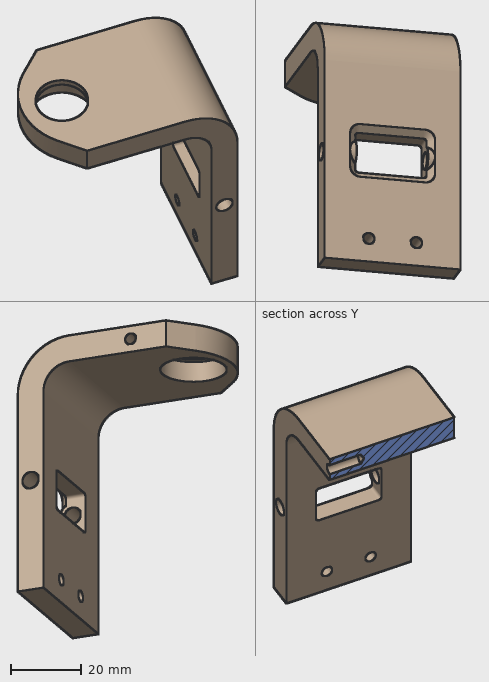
import cadquery as cq
import math

width = 40.0
height = 76.0
thickness = 8.0
bend_inner_radius = 8.0
bend_outer_radius = bend_inner_radius + thickness
flange_bottom = height - thickness

side_length = 46.0
nose_flat_leg = 6.5
nose_arc_half_width = width / 2 - nose_flat_leg
nose_arc_radius = nose_arc_half_width * math.sqrt(2)
nose_arc_end_y = -(side_length + nose_flat_leg)
nose_tip_y = nose_arc_end_y - (nose_arc_radius - nose_arc_half_width)

seat_y = -side_length
seat_diameter = 19.0
lip_bore_diameter = 15.0
lip_thickness = 2.0

window_width = 21.0
window_height = 12.0
window_corner_radius = 1.0
window_z = 33.5
rear_chamfer = 2.0
chamfer_angle = 45.0
cross_hole_diameter = 5.0
cross_boss_diameter = thickness
mount_hole_diameter = 3.3
mount_hole_spacing = 14.0
mount_hole_z = 7.0

edge_hole_diameter = 3.3
edge_hole_y = -35.0
edge_hole_depth = 10.0
drill_point_angle = 118.0


def bent_plate():
    """L-shaped side profile with a rounded bend, extruded across the width."""
    bend_z = height - bend_outer_radius
    bend_diagonal = math.sqrt(0.5)
    outer_mid = (
        -bend_outer_radius * (1 - bend_diagonal),
        bend_z + bend_outer_radius * bend_diagonal,
    )
    inner_mid = (
        -bend_outer_radius + bend_inner_radius * bend_diagonal,
        bend_z + bend_inner_radius * bend_diagonal,
    )
    return (
        cq.Workplane("YZ")
        .moveTo(0, 0)
        .lineTo(0, bend_z)
        .threePointArc(outer_mid, (-bend_outer_radius, height))
        .lineTo(nose_tip_y, height)
        .lineTo(nose_tip_y, flange_bottom)
        .lineTo(-bend_outer_radius, flange_bottom)
        .threePointArc(inner_mid, (-thickness, bend_z))
        .lineTo(-thickness, 0)
        .close()
        .extrude(width / 2, both=True)
    )


def plan_outline():
    """Full-height prism with the plan shape of the flange and its rounded nose."""
    half_width = width / 2
    return (
        cq.Workplane("XY")
        .moveTo(-half_width, 0)
        .lineTo(-half_width, -side_length)
        .lineTo(-nose_arc_half_width, nose_arc_end_y)
        .threePointArc((0, nose_tip_y), (nose_arc_half_width, nose_arc_end_y))
        .lineTo(half_width, -side_length)
        .lineTo(half_width, 0)
        .close()
        .extrude(height)
    )


def bearing_seat():
    """Lip bore through the flange plus the wider seat below the lip."""
    base = cq.Workplane("XY", origin=(0, seat_y, flange_bottom))
    lip_bore = base.circle(lip_bore_diameter / 2).extrude(thickness)
    seat = base.circle(seat_diameter / 2).extrude(thickness - lip_thickness)
    return lip_bore.union(seat)


def window():
    """Rectangular opening through the upright with rounded corners."""
    return (
        cq.Workplane("XZ", origin=(0, 0, window_z))
        .rect(window_width, window_height)
        .extrude(thickness)
        .edges("|Y")
        .fillet(window_corner_radius)
    )


def window_rear_chamfer():
    """Bevel around the rear rim of the window, interrupted by bosses around the cross hole."""
    rim = (
        cq.Sketch()
        .rect(window_width + 2 * rear_chamfer, window_height + 2 * rear_chamfer)
        .vertices()
        .fillet(window_corner_radius + rear_chamfer)
    )
    bevel = (
        cq.Workplane("XZ", origin=(0, 0, window_z))
        .placeSketch(rim)
        .extrude(rear_chamfer, taper=chamfer_angle)
    )
    return bevel.cut(cross_cylinder(cross_boss_diameter))


def mount_holes():
    """Pair of through holes near the foot of the upright."""
    half_spacing = mount_hole_spacing / 2
    return (
        cq.Workplane("XZ", origin=(0, 0, mount_hole_z))
        .pushPoints([(-half_spacing, 0), (half_spacing, 0)])
        .circle(mount_hole_diameter / 2)
        .extrude(thickness)
    )


def cross_cylinder(diameter):
    """Cylinder along X over the full width, centred in the upright and on the window."""
    return (
        cq.Workplane("YZ", origin=(0, -thickness / 2, window_z))
        .circle(diameter / 2)
        .extrude(width / 2, both=True)
    )


def edge_hole():
    """Blind hole along +X into the flange edge, ending in a drill point."""
    radius = edge_hole_diameter / 2
    point_length = radius / math.tan(math.radians(drill_point_angle / 2))
    return (
        cq.Workplane("XY", origin=(-width / 2, edge_hole_y, height - thickness / 2))
        .moveTo(0, 0)
        .lineTo(0, radius)
        .lineTo(edge_hole_depth, radius)
        .lineTo(edge_hole_depth + point_length, 0)
        .close()
        .revolve(360, (0, 0, 0), (1, 0, 0))
    )


cutters = (
    bearing_seat(),
    window(),
    window_rear_chamfer(),
    mount_holes(),
    cross_cylinder(cross_hole_diameter),
    edge_hole(),
)

result = bent_plate().intersect(plan_outline())
for cutter in cutters:
    result = result.cut(cutter)